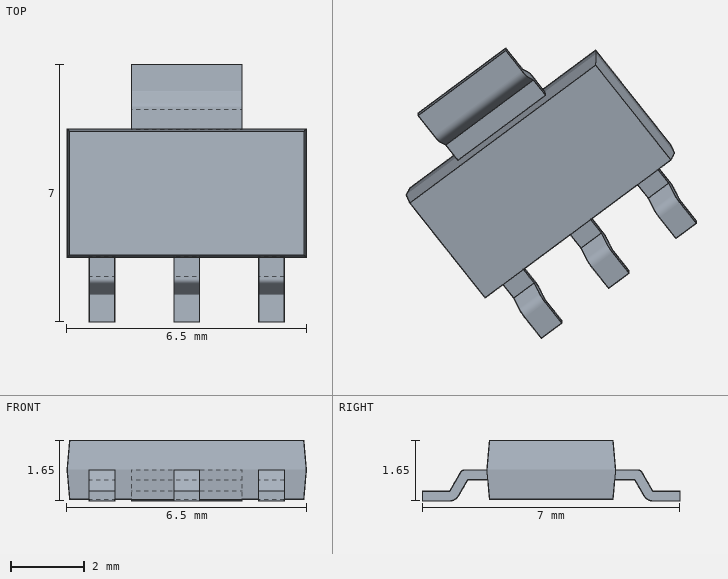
import cadquery as cq
import math

span = 7.0
height = 1.65

body_length = 6.5
body_width = 3.5
standoff = 0.05
draft_angle = 5.0
half_body_height = (height - standoff) / 2
parting_z = standoff + half_body_height

lead_thickness = 0.27
lead_width = 0.7
lead_pitch = 2.3
lead_count = 3
tab_width = 3.0
foot_length = 0.74
bend_angle = math.radians(60)
shoulder_radius = 0.15
instep_radius = 0.02
heel_radius = instep_radius + lead_thickness
embed_depth = 0.35


def make_body():
    """Two halves tapering away from the parting plane."""
    upper = (
        cq.Workplane("XY")
        .rect(body_length, body_width)
        .extrude(half_body_height, taper=draft_angle)
    )
    lower = upper.mirror("XY")
    return upper.union(lower).translate((0, 0, parting_z))


def make_lead(width, center_x):
    """Gull-wing strip on the -Y side, with its arm top on the parting plane."""
    tip_y = -span / 2
    root_y = -body_width / 2 + embed_depth
    arm_bottom_z = parting_z - lead_thickness

    corner_shift = lead_thickness * math.tan(bend_angle / 2)
    slope_run = arm_bottom_z / math.tan(bend_angle)
    foot_inner_y = tip_y + foot_length
    arm_outer_y = foot_inner_y + slope_run
    arm_inner_y = arm_outer_y + corner_shift
    foot_outer_y = foot_inner_y + corner_shift

    strip = (
        cq.Workplane("YZ")
        .moveTo(tip_y, 0)
        .lineTo(foot_outer_y, 0)
        .lineTo(arm_inner_y, arm_bottom_z)
        .lineTo(root_y, arm_bottom_z)
        .lineTo(root_y, parting_z)
        .lineTo(arm_outer_y, parting_z)
        .lineTo(foot_inner_y, lead_thickness)
        .lineTo(tip_y, lead_thickness)
        .close()
        .extrude(width / 2, both=True)
    )
    rounded_corners = [
        (arm_outer_y, parting_z, shoulder_radius),
        (foot_outer_y, 0, heel_radius),
        (foot_inner_y, lead_thickness, instep_radius),
    ]
    for corner_y, corner_z, radius in rounded_corners:
        nearest_edge = cq.selectors.NearestToPointSelector((0, corner_y, corner_z))
        strip = strip.edges("|X").edges(nearest_edge).fillet(radius)
    return strip.translate((center_x, 0, 0))


result = make_body()

for index in range(lead_count):
    lead_x = (index - (lead_count - 1) / 2) * lead_pitch
    result = result.union(make_lead(lead_width, lead_x))

tab = make_lead(tab_width, 0).mirror("XZ")
result = result.union(tab)